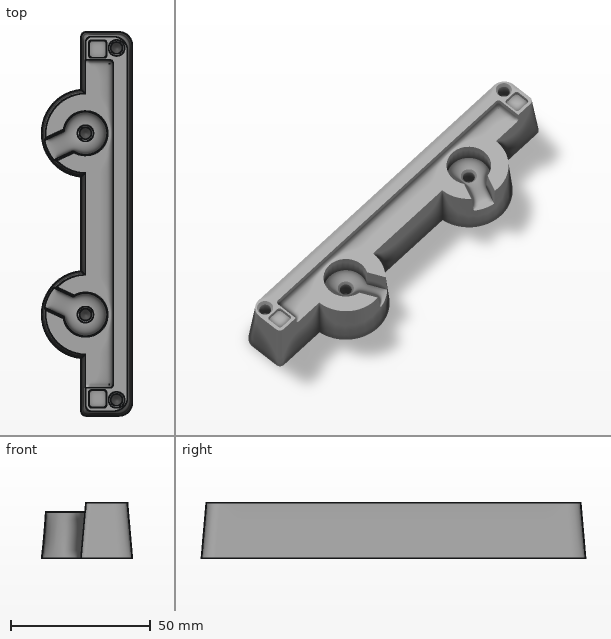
import cadquery as cq
import math

draft = 5.0
draft_slope = math.tan(math.radians(draft))

length = 137.5
height = 20.0
bar_right = 16.8
top_left = 0.1
bar_left = top_left - height * draft_slope
bar_width = bar_right - bar_left
left_corner_radius = 1.9
right_corner_radius = 5.0

deck_z = 16.6
recess_right = 9.9
recess_half_length = 58.7
recess_corner_radius = 1.2
recess_floor_radius = 1.1

boss_radius = 15.7
boss_y = 32.5
pocket_floor_z = 9.6
pocket_radius = 8.0
pocket_draft = 2.0
slot_width = 9.1
slot_length = 19.2
slot_angle = 25.0

hole_diameter = 4.3
hole_mouth_diameter = 5.8
end_countersink_depth = 1.2
boss_countersink_depth = 0.8
hole_depth = 6.9
drill_point_angle = 118.0
end_hole_x = 11.1
end_hole_y = 63.0

square_x = 4.4
square_y = 62.5
square_size = 6.3
square_corner_radius = 1.0
square_depth = 1.4


def corner_edges(z_low, z_high, x_low=-length, x_high=length):
    """Select edges centred between two X limits and near mid-height between two Z levels."""
    margin = (z_high - z_low) / 4
    return cq.selectors.BoxSelector((x_low, -length, z_low + margin), (x_high, length, z_high - margin))


def make_bar():
    mid_x = (bar_left + bar_right) / 2
    return (
        cq.Workplane("XY", origin=(mid_x, 0, 0))
        .rect(bar_width, length)
        .extrude(height, taper=draft)
        .edges(corner_edges(0, height, x_high=mid_x))
        .fillet(left_corner_radius)
        .edges(corner_edges(0, height, x_low=mid_x))
        .fillet(right_corner_radius)
    )


def make_recess():
    """Cutter for the recess: open to the left, with drafted walls and a fillet along their foot."""
    reach = boss_radius + recess_right
    return (
        cq.Workplane("XY", origin=(recess_right - reach, 0, height))
        .rect(2 * reach, 2 * recess_half_length)
        .extrude(deck_z - height, taper=draft)
        .edges(corner_edges(deck_z, height))
        .fillet(recess_corner_radius)
        .faces("<Z")
        .edges()
        .fillet(recess_floor_radius)
    )


def make_boss(y):
    return (
        cq.Workplane("XY", origin=(0, y, 0))
        .circle(boss_radius)
        .extrude(deck_z, taper=draft)
    )


def make_boss_pocket(side):
    """Cutter for the round pocket and its slot, which slants towards mid-length."""
    depth = deck_z - pocket_floor_z
    pocket = cq.Workplane("XY").circle(pocket_radius).extrude(-depth, taper=pocket_draft)
    slot = (
        cq.Workplane("XY")
        .center(-slot_length / 2, 0)
        .rect(slot_length, slot_width)
        .extrude(-depth, taper=draft)
        .rotate((0, 0, 0), (0, 0, 1), side * slot_angle)
    )
    return pocket.union(slot).translate((0, side * boss_y, deck_z))


def make_hole(x, y, top_z, countersink_depth):
    """Cutter for a countersunk pilot hole with a drill-point bottom."""
    radius = hole_diameter / 2
    mouth_radius = hole_mouth_diameter / 2
    point_length = radius / math.tan(math.radians(drill_point_angle / 2))
    return (
        cq.Workplane("XZ")
        .polyline([
            (0, 0),
            (mouth_radius, 0),
            (radius, -countersink_depth),
            (radius, -hole_depth),
            (0, -hole_depth - point_length),
        ])
        .close()
        .revolve(360, (0, 0), (0, 1))
        .translate((x, y, top_z))
    )


def make_square_pocket(y):
    return (
        cq.Workplane("XY", origin=(square_x, y, height))
        .rect(square_size, square_size)
        .extrude(-square_depth, taper=draft)
        .edges(corner_edges(height - square_depth, height))
        .fillet(square_corner_radius)
    )


result = make_bar().cut(make_recess())
for side in (-1, 1):
    result = result.union(make_boss(side * boss_y))
for side in (-1, 1):
    result = result.cut(make_boss_pocket(side))
    result = result.cut(make_hole(0, side * boss_y, pocket_floor_z, boss_countersink_depth))
    result = result.cut(make_hole(end_hole_x, side * end_hole_y, height, end_countersink_depth))
    result = result.cut(make_square_pocket(side * square_y))